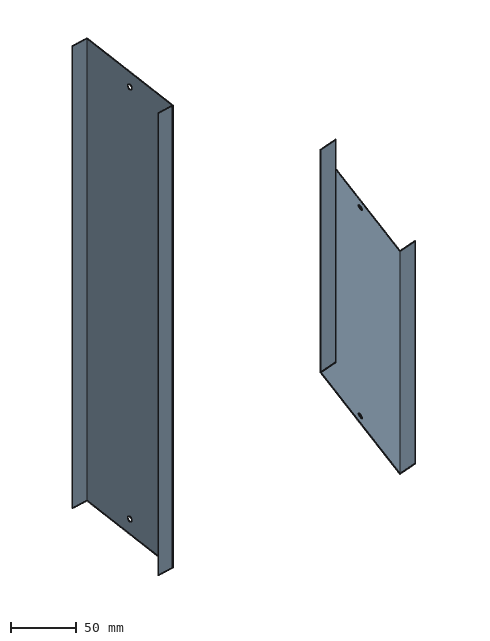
import cadquery as cq

length = 460.0
sheet_thickness = 0.6
inner_width = 102.0
flange_reach = 14.0
hole_diameter = 5.0
hole_end_distance = 15.0

outer_width = inner_width + 2 * sheet_thickness
depth = flange_reach + sheet_thickness
hole_spacing = length - 2 * hole_end_distance


def make_channel():
    """U-shaped sheet channel, open towards -Y, centred on the origin."""
    outer = cq.Workplane("XY").box(outer_width, depth, length)
    cavity = (
        cq.Workplane("XY")
        .box(inner_width, flange_reach, length)
        .translate((0, -sheet_thickness / 2, 0))
    )
    return outer.cut(cavity)


def make_web_holes():
    """Cutters for the two holes on the centreline of the web, one near each end."""
    return (
        cq.Workplane("XZ")
        .pushPoints([(0, side * hole_spacing / 2) for side in (-1, 1)])
        .circle(hole_diameter / 2)
        .extrude(depth, both=True)
    )


result = make_channel().cut(make_web_holes())